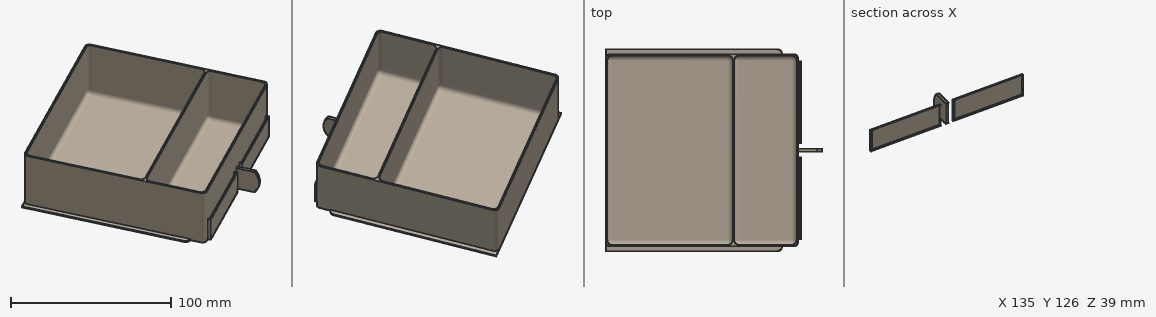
import cadquery as cq

tray_length = 120.0
tray_width = 120.0
tray_height = 39.0
wall = 1.0
floor = 1.0
outer_corner_radius = 3.0
pocket_radius = 3.0

rear_pocket_length = 78.15
front_pocket_length = tray_length - 3 * wall - rear_pocket_length

flange_length = 110.0
flange_overhang = 3.0
flange_thickness = 1.0
flange_corner_radius = 3.0

holder_height = 16.0
holder_depth = 2.0
holder_wall = 1.0
holder_inner_end = 4.5
holder_outer_end = 55.5
label_slot_depth = holder_depth - holder_wall

handle_height = 16.0
handle_thickness = 2.0
handle_straight_length = 12.0
handle_reach = 15.02


def make_box(length, width, height, x_start, y_start, z_start):
    """Box placed by its lowest corner."""
    box = cq.Workplane("XY").box(length, width, height, centered=False)
    return box.translate((x_start, y_start, z_start))


def make_body():
    body = make_box(tray_length, tray_width, tray_height, 0, -tray_width / 2, 0)
    return body.edges("|Z").fillet(outer_corner_radius)


def make_flange():
    width = tray_width + 2 * flange_overhang
    flange = make_box(flange_length, width, flange_thickness, 0, -width / 2, 0)
    return flange.edges("|Z and >X").fillet(flange_corner_radius)


def make_pocket(x_start, length):
    """Compartment cavity, rounded at its upright corners and around its floor."""
    width = tray_width - 2 * wall
    pocket = make_box(length, width, tray_height, x_start, -width / 2, floor)
    pocket = pocket.edges("|Z").fillet(pocket_radius)
    return pocket.faces("<Z").edges().fillet(pocket_radius)


def make_label_holder():
    """Holder on the +Y side: a block with a slot open at the top, closed below and at the ends."""
    width = holder_outer_end - holder_inner_end
    block = make_box(holder_depth, width, holder_height, tray_length, holder_inner_end, 0)
    slot = make_box(
        label_slot_depth,
        width - 2 * holder_wall,
        holder_height,
        tray_length,
        holder_inner_end + holder_wall,
        holder_wall,
    )
    return block.cut(slot)


def make_handle():
    handle = (
        cq.Workplane("XZ")
        .moveTo(-wall, 0)
        .lineTo(handle_straight_length, 0)
        .threePointArc((handle_reach, handle_height / 2), (handle_straight_length, handle_height))
        .lineTo(-wall, handle_height)
        .close()
        .extrude(handle_thickness / 2, both=True)
    )
    return handle.translate((tray_length, 0, 0))


front_pocket_start = 2 * wall + rear_pocket_length
label_holder = make_label_holder()

result = make_body().union(make_flange()).union(label_holder).union(label_holder.mirror("XZ"))
result = result.union(make_handle())
result = result.cut(make_pocket(wall, rear_pocket_length))
result = result.cut(make_pocket(front_pocket_start, front_pocket_length))